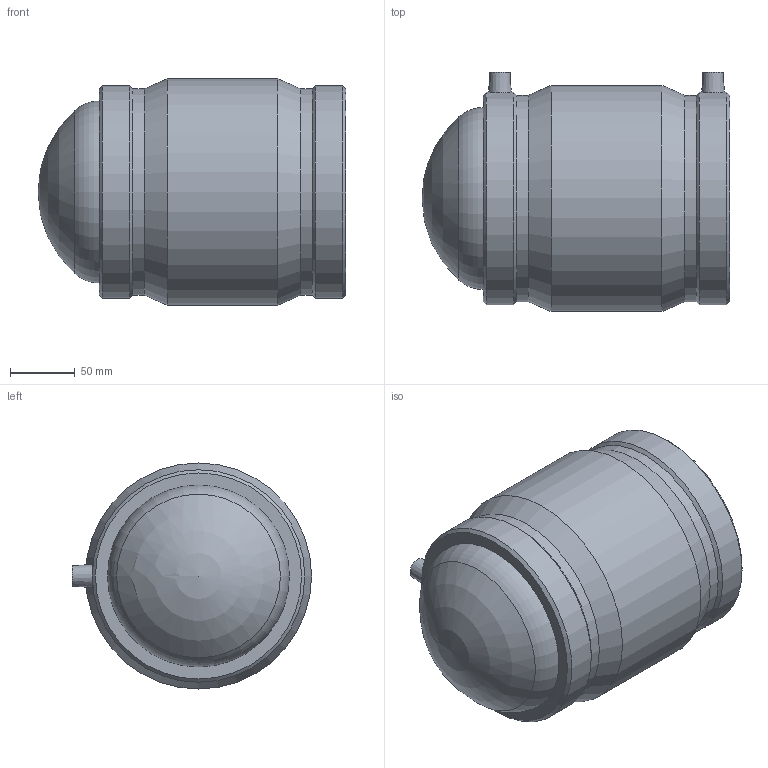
import cadquery as cq
import math

body_length = 190.0
body_diameter = 174.0
neck_diameter = 158.65
collar_diameter = 163.56
collar_width = 26.0
neck_width = 8.7
cone_length = 17.6

dome_diameter = 140.0
crown_radius = 84.0
knuckle_radius = 28.0

pin_tip_diameter = 16.0
pin_tip_y = 97.0
pin_draft_angle = 3.0
pin_root_y = 70.0

body_radius = body_diameter / 2
neck_radius = neck_diameter / 2
collar_radius = collar_diameter / 2
dome_radius = dome_diameter / 2
collar_chamfer = collar_radius - neck_radius


def make_barrel():
    """Wide cylinder that tapers through a cone at each end to the narrower necks."""
    cone_start = collar_width + neck_width
    cone_end = cone_start + cone_length
    return (
        cq.Workplane("XY")
        .moveTo(0, 0)
        .lineTo(0, neck_radius)
        .lineTo(cone_start, neck_radius)
        .lineTo(cone_end, body_radius)
        .lineTo(body_length - cone_end, body_radius)
        .lineTo(body_length - cone_start, neck_radius)
        .lineTo(body_length, neck_radius)
        .lineTo(body_length, 0)
        .close()
        .revolve(360, (0, 0, 0), (1, 0, 0))
    )


def make_collar(start_x):
    """Ring with both edges chamfered down to the neck diameter."""
    return (
        cq.Workplane("YZ", origin=(start_x, 0, 0))
        .circle(collar_radius)
        .extrude(collar_width)
        .edges()
        .chamfer(collar_chamfer)
    )


def make_dome():
    """Torispherical head: a spherical crown blended tangentially into a knuckle."""
    knuckle_center_radius = dome_radius - knuckle_radius
    center_distance = crown_radius - knuckle_radius
    crown_center_x = math.sqrt(center_distance**2 - knuckle_center_radius**2)
    crown_half_angle = math.asin(knuckle_center_radius / center_distance)

    def crown_point(angle):
        x = crown_center_x - crown_radius * math.cos(angle)
        return (x, crown_radius * math.sin(angle))

    knuckle_mid_angle = (crown_half_angle + math.pi / 2) / 2
    knuckle_mid = (
        -knuckle_radius * math.cos(knuckle_mid_angle),
        knuckle_center_radius + knuckle_radius * math.sin(knuckle_mid_angle),
    )
    return (
        cq.Workplane("XY")
        .moveTo(0, 0)
        .lineTo(*crown_point(0))
        .threePointArc(crown_point(crown_half_angle / 2), crown_point(crown_half_angle))
        .threePointArc(knuckle_mid, (0, dome_radius))
        .close()
        .revolve(360, (0, 0, 0), (1, 0, 0))
    )


def make_pin(center_x):
    """Solid tapered pin standing on a collar toward +Y, rooted inside the body."""
    pin_length = pin_tip_y - pin_root_y
    tip_radius = pin_tip_diameter / 2
    root_radius = tip_radius + pin_length * math.tan(math.radians(pin_draft_angle))
    root = cq.Vector(center_x, pin_root_y, 0)
    pin = cq.Solid.makeCone(root_radius, tip_radius, pin_length, root, cq.Vector(0, 1, 0))
    return cq.Workplane(obj=pin)


result = make_barrel().union(make_dome())
for collar_start in (0, body_length - collar_width):
    result = result.union(make_collar(collar_start))
    result = result.union(make_pin(collar_start + collar_width / 2))